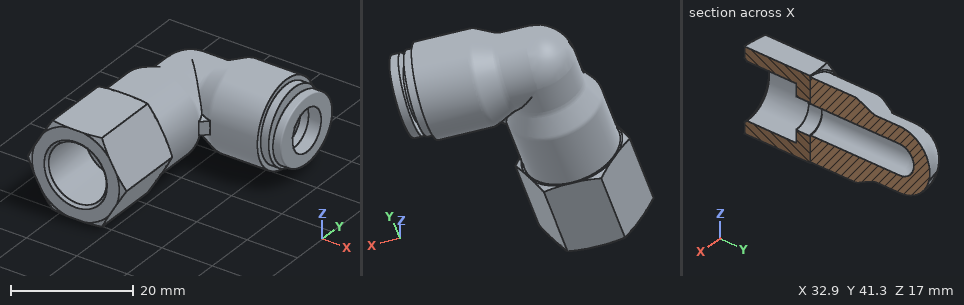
import cadquery as cq
import math

leg_length = 19.0
leg_radius = 16.6 / 2
neck_radius = 13.0 / 2
cone_start = 5.33
cone_angle = math.radians(25)
cone_end = cone_start + (leg_radius - neck_radius) / math.tan(cone_angle)
blend_radius = 2.0
blend_length = blend_radius * math.tan(cone_angle / 2)
passage_radius = 6.0 / 2

web_thickness = 2.6
web_reach = 9.6

hex_flats = 17.0
hex_corners = hex_flats / math.cos(math.pi / 6)
hex_length = 14.0
hex_face_radius = 8.65
hex_chamfer_height = 0.43
thread_radius = 11.45 / 2
thread_mouth_radius = 12.5 / 2
thread_depth = 11.0
hex_passage_radius = 6.4 / 2

collar_radius = 14.7 / 2
collar_length = 1.6
tube_hole_radius = 8.2 / 2

button_neck_radius = 9.6 / 2
button_neck_length = 0.9
flange_width = 14.9
flange_height = 13.0
flange_thickness = 1.6
flange_rounding = 0.25

X_AXIS = cq.Vector(1, 0, 0)


def cylinder_along_x(start, length, radius):
    return cq.Workplane(cq.Solid.makeCylinder(radius, length, cq.Vector(start, 0, 0), X_AXIS))


def turn_to_minus_y(shape):
    return shape.rotate((0, 0, 0), (0, 0, 1), -90)


def leg_along_x():
    """Neck, flared cone and full-size barrel, with both cone edges blended."""
    along = blend_length * math.cos(cone_angle)
    outward = blend_length * math.sin(cone_angle)
    half_angle = cone_angle / 2
    mid_along = blend_radius * math.sin(half_angle)
    mid_outward = blend_radius * (1 - math.cos(half_angle))
    blend_start = cone_start - blend_length
    blend_end = cone_end + blend_length
    return (
        cq.Workplane("XY")
        .lineTo(0, neck_radius)
        .lineTo(blend_start, neck_radius)
        .threePointArc(
            (blend_start + mid_along, neck_radius + mid_outward),
            (cone_start + along, neck_radius + outward),
        )
        .lineTo(cone_end - along, leg_radius - outward)
        .threePointArc(
            (blend_end - mid_along, leg_radius - mid_outward),
            (blend_end, leg_radius),
        )
        .lineTo(leg_length, leg_radius)
        .lineTo(leg_length, 0)
        .close()
        .revolve(360, (0, 0, 0), (1, 0, 0))
    )


def corner_web():
    return (
        cq.Workplane("XY")
        .polyline([(0, 0), (web_reach, -leg_radius), (leg_radius, -web_reach)])
        .close()
        .extrude(web_thickness / 2, both=True)
    )


def make_elbow():
    leg = leg_along_x()
    outside = leg.union(turn_to_minus_y(leg))
    outside = outside.union(cq.Workplane("XY").sphere(neck_radius)).union(corner_web())
    bore = cylinder_along_x(0, leg_length, passage_radius)
    passage = bore.union(turn_to_minus_y(bore)).union(cq.Workplane("XY").sphere(passage_radius))
    return outside.cut(passage)


def make_hex_end():
    """Built along +X from the elbow leg outward, then turned to -Y."""
    end = leg_length + hex_length
    corner_radius = hex_corners / 2
    prism = (
        cq.Workplane("YZ", origin=(leg_length, 0, 0))
        .polygon(6, hex_corners)
        .extrude(hex_length)
    )
    corner_chamfers = (
        cq.Workplane("XY")
        .polyline([
            (leg_length, 0),
            (leg_length, hex_face_radius),
            (leg_length + hex_chamfer_height, corner_radius),
            (end - hex_chamfer_height, corner_radius),
            (end, hex_face_radius),
            (end, 0),
        ])
        .close()
        .revolve(360, (0, 0, 0), (1, 0, 0))
    )
    mouth_depth = thread_mouth_radius - thread_radius
    bore = (
        cq.Workplane("XY")
        .polyline([
            (leg_length, 0),
            (leg_length, hex_passage_radius),
            (end - thread_depth, hex_passage_radius),
            (end - thread_depth, thread_radius),
            (end - mouth_depth, thread_radius),
            (end, thread_mouth_radius),
            (end, 0),
        ])
        .close()
        .revolve(360, (0, 0, 0), (1, 0, 0))
    )
    return turn_to_minus_y(prism.intersect(corner_chamfers).cut(bore))


def make_collar():
    ring = cylinder_along_x(leg_length, collar_length, collar_radius)
    return ring.cut(cylinder_along_x(leg_length, collar_length, tube_hole_radius))


def make_release_button():
    neck_start = leg_length + collar_length
    flange_start = neck_start + button_neck_length
    flange = (
        cq.Workplane("YZ", origin=(flange_start, 0, 0))
        .ellipse(flange_width / 2, flange_height / 2)
        .extrude(flange_thickness)
        .faces(">X")
        .edges()
        .fillet(flange_rounding)
    )
    neck = cylinder_along_x(neck_start, button_neck_length, button_neck_radius)
    button_length = button_neck_length + flange_thickness
    return neck.union(flange).cut(cylinder_along_x(neck_start, button_length, tube_hole_radius))


elbow = make_elbow()
hex_end = make_hex_end()
collar = make_collar()
release_button = make_release_button()

result = cq.Compound.makeCompound([
    elbow.val(),
    hex_end.val(),
    collar.val(),
    release_button.val(),
])